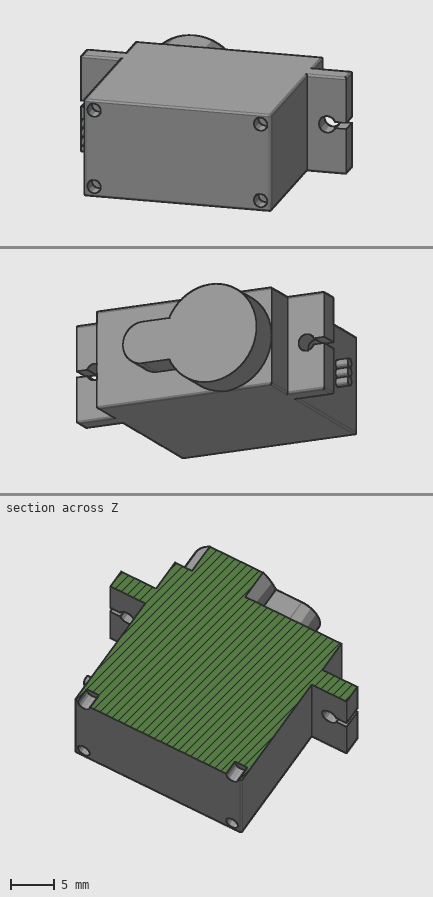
import cadquery as cq

CASE_WIDTH = 22.5
CASE_HEIGHT = 22.7
CASE_DEPTH = 11.8
EDGE_ROUND = 0.25

EAR_SPAN = 31.9
EAR_THICKNESS = 2.5
EAR_BOTTOM_Y = 15.9
EAR_HOLE_DIAMETER = 2.0
EAR_HOLE_X = 13.65
EAR_SLOT_WIDTH = 0.75

HOUSING_HEIGHT = 4.0
HOUSING_RADIUS = CASE_DEPTH / 2
HOUSING_X = -CASE_WIDTH / 2 + HOUSING_RADIUS
LOBE_RADIUS = 2.5
LOBE_END_X = 5.95
LOBE_X = LOBE_END_X - LOBE_RADIUS

SCREW_HOLE_DIAMETER = 1.6
SCREW_HOLE_DEPTH = 2.0
SCREW_SPACING_X = 20.0
SCREW_SPACING_Z = 9.3

WIRE_DIAMETER = 1.08
WIRE_PITCH = 1.1
WIRE_COUNT = 3
WIRE_LENGTH = 1.55
WIRE_Y = 5.2
WIRE_ROW_Z = 0.1


def plane_facing_y(y):
    """Workplane at height y with its normal along +Y and its local x along X."""
    return cq.Workplane(cq.Plane(origin=(0, y, 0), xDir=(1, 0, 0), normal=(0, 1, 0)))


def case_with_ears():
    case = cq.Workplane("XY").box(CASE_WIDTH, CASE_HEIGHT, CASE_DEPTH, centered=(True, False, True))
    ears = (
        cq.Workplane("XY")
        .box(EAR_SPAN, EAR_THICKNESS, CASE_DEPTH, centered=(True, False, True))
        .translate((0, EAR_BOTTOM_Y, 0))
    )
    return case.union(ears).edges("<Y or >Z or <Z").fillet(EDGE_ROUND)


def gear_housing():
    base = plane_facing_y(CASE_HEIGHT - EDGE_ROUND)
    length = HOUSING_HEIGHT + EDGE_ROUND
    boss = base.center(HOUSING_X, 0).circle(HOUSING_RADIUS).extrude(length)
    lobe_end = base.center(LOBE_X, 0).circle(LOBE_RADIUS).extrude(length)
    lobe_middle = (
        base.center((HOUSING_X + LOBE_X) / 2, 0)
        .rect(LOBE_X - HOUSING_X, 2 * LOBE_RADIUS)
        .extrude(length)
    )
    return boss.union(lobe_middle).union(lobe_end)


def ear_openings():
    """Screw holes through the ears, each with a slot open to the ear's end."""
    base = plane_facing_y(EAR_BOTTOM_Y)
    openings = base.pushPoints([(-EAR_HOLE_X, 0), (EAR_HOLE_X, 0)]).circle(EAR_HOLE_DIAMETER / 2)
    openings = openings.extrude(EAR_THICKNESS)
    slot_length = EAR_SPAN / 2 - EAR_HOLE_X
    slot_x = EAR_HOLE_X + slot_length / 2
    slots = base.pushPoints([(-slot_x, 0), (slot_x, 0)]).rect(slot_length, EAR_SLOT_WIDTH)
    return openings.union(slots.extrude(EAR_THICKNESS))


def screw_holes():
    return (
        plane_facing_y(0)
        .rarray(SCREW_SPACING_X, SCREW_SPACING_Z, 2, 2)
        .circle(SCREW_HOLE_DIAMETER / 2)
        .extrude(SCREW_HOLE_DEPTH)
    )


def wires():
    row = cq.Workplane("YZ", origin=(-CASE_WIDTH / 2, WIRE_Y, WIRE_ROW_Z))
    return row.rarray(1, WIRE_PITCH, 1, WIRE_COUNT).circle(WIRE_DIAMETER / 2).extrude(-WIRE_LENGTH)


result = case_with_ears().union(gear_housing()).union(wires()).cut(ear_openings()).cut(screw_holes())